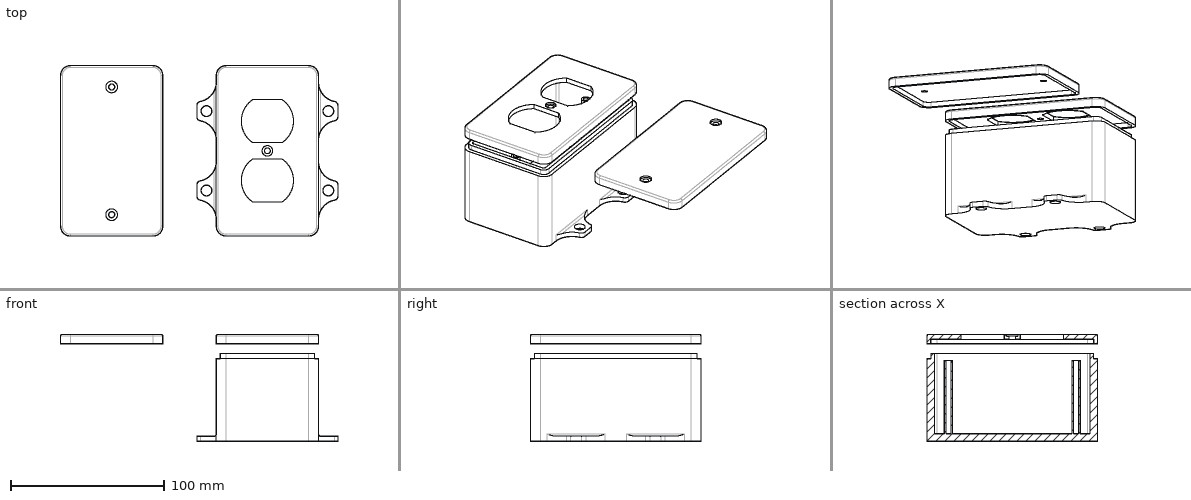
import cadquery as cq
import math

width = 66.8
length = 111.4
corner_radius = 6.5
overall_width = 181.1
overall_height = 69.9

box_height = 54.0
lip_height = 3.5
lip_inset = 2.5
wall = 5.0
floor = wall
post_diameter = 5.6
post_hole_diameter = 3.0
post_drop = 1.3
screw_offset_y = 41.7

tab_reach = 12.7
tab_height = 3.5
tab_flare_radius = tab_reach
tab_tip_radius = 2.8
tab_base_half_width = 18.8
tab_offset_y = 25.9
tab_hole_diameter = 6.9
tab_hole_from_tip = 6.3
tab_fillet = 1.3

cover_height = 6.3
cover_fillet = 1.3
cover_plate = 3.3
screw_hole_diameter = 3.8
counterbore_depth = 1.3
blank_counterbore_diameter = 7.6
outlet_counterbore_diameter = 6.9
outlet_diameter = 34.0
outlet_length = 28.0
outlet_offset_y = 19.4

blank_center_x = width / 2
box_center_x = overall_width - tab_reach - width / 2
cover_bottom_z = overall_height - cover_height


def rounded_block(inset, height):
    """Block with the common outline moved inward, its base on Z = 0."""
    return (
        cq.Workplane("XY")
        .rect(width - 2 * inset, length - 2 * inset)
        .extrude(height)
        .edges("|Z")
        .fillet(corner_radius - inset)
    )


def make_tab():
    """Mounting tab reaching out along +X from a wall at X = 0, centred on Y = 0."""
    flare_x = tab_flare_radius
    flare_y = tab_base_half_width
    tip_x = tab_reach - tab_tip_radius
    tip_y = flare_y - math.sqrt((tab_flare_radius + tab_tip_radius) ** 2 - (flare_x - tip_x) ** 2)
    lean = math.atan2(flare_y - tip_y, flare_x - tip_x)

    def flare_point(angle):
        return flare_x - tab_flare_radius * math.cos(angle), flare_y - tab_flare_radius * math.sin(angle)

    def tip_point(angle):
        return tip_x + tab_tip_radius * math.cos(angle), tip_y + tab_tip_radius * math.sin(angle)

    def mirrored(point):
        return point[0], -point[1]

    root = flare_point(0)
    flare_middle = flare_point(lean / 2)
    joint = flare_point(lean)
    tip_middle = tip_point(lean / 2)
    tip_end = tip_point(0)
    outline = (
        cq.Workplane("XY")
        .moveTo(-wall / 2, root[1])
        .lineTo(*root)
        .threePointArc(flare_middle, joint)
        .threePointArc(tip_middle, tip_end)
        .lineTo(*mirrored(tip_end))
        .threePointArc(mirrored(tip_middle), mirrored(joint))
        .threePointArc(mirrored(flare_middle), mirrored(root))
        .lineTo(-wall / 2, -root[1])
        .close()
    )
    fillet_top = tab_height + tab_fillet
    fillet_sag = tab_fillet * (1 - math.sqrt(0.5))
    profile = (
        cq.Workplane("XZ")
        .moveTo(-wall / 2, 0)
        .lineTo(tab_reach, 0)
        .lineTo(tab_reach, tab_height)
        .lineTo(tab_fillet, tab_height)
        .threePointArc((fillet_sag, tab_height + fillet_sag), (0, fillet_top))
        .lineTo(-wall / 2, fillet_top)
        .close()
        .extrude(tab_base_half_width, both=True)
    )
    hole = (
        cq.Workplane("XY")
        .center(tab_reach - tab_hole_from_tip, 0)
        .circle(tab_hole_diameter / 2)
        .extrude(tab_height)
    )
    return outline.extrude(fillet_top).intersect(profile).cut(hole)


def make_post():
    """Hollow screw post standing on the floor and ending just below the foot of the lip."""
    return (
        cq.Workplane("XY")
        .circle(post_diameter / 2)
        .circle(post_hole_diameter / 2)
        .extrude(box_height - post_drop - floor)
    )


def make_box():
    """Open box with a stepped lip, two mounting tabs on each long side and two screw posts inside."""
    body = rounded_block(0, box_height).union(rounded_block(lip_inset, box_height + lip_height))
    right_tab = make_tab().translate((width / 2, 0, 0))
    for y in (-tab_offset_y, tab_offset_y):
        for turn in (0, 180):
            tab = right_tab.rotate((0, 0, 0), (0, 0, 1), turn)
            body = body.union(tab.translate((0, y, 0)))
    cavity = rounded_block(wall, box_height + lip_height - floor).translate((0, 0, floor))
    body = body.cut(cavity)
    for y in (-screw_offset_y, screw_offset_y):
        body = body.union(make_post().translate((0, y, floor)))
    return body


def make_cover():
    """Plain cover: rounded top edge, and a recess underneath that fits over the lip of the box."""
    recess = rounded_block(lip_inset, cover_height - cover_plate)
    return rounded_block(0, cover_height).faces(">Z").edges().fillet(cover_fillet).cut(recess)


def drill_screw_holes(cover, points, counterbore_diameter):
    return (
        cover.faces(">Z")
        .workplane(origin=(0, 0, cover_height))
        .pushPoints(points)
        .cboreHole(screw_hole_diameter, counterbore_diameter, counterbore_depth)
    )


def make_blank_cover():
    """Cover with one counterbored screw hole near each end."""
    points = [(0, -screw_offset_y), (0, screw_offset_y)]
    return drill_screw_holes(make_cover(), points, blank_counterbore_diameter)


def make_outlet_cover():
    """Cover with two outlet openings, round with flat ends, and a screw hole between them."""
    opening = (
        cq.Workplane("XY")
        .circle(outlet_diameter / 2)
        .extrude(cover_height)
        .intersect(cq.Workplane("XY").box(outlet_diameter, outlet_length, 2 * cover_height))
    )
    cover = drill_screw_holes(make_cover(), [(0, 0)], outlet_counterbore_diameter)
    for y in (-outlet_offset_y, outlet_offset_y):
        cover = cover.cut(opening.translate((0, y, 0)))
    return cover


box = make_box().translate((box_center_x, 0, 0))
blank_cover = make_blank_cover().translate((blank_center_x, 0, cover_bottom_z))
outlet_cover = make_outlet_cover().translate((box_center_x, 0, cover_bottom_z))

result = cq.Compound.makeCompound([box.val(), blank_cover.val(), outlet_cover.val()])